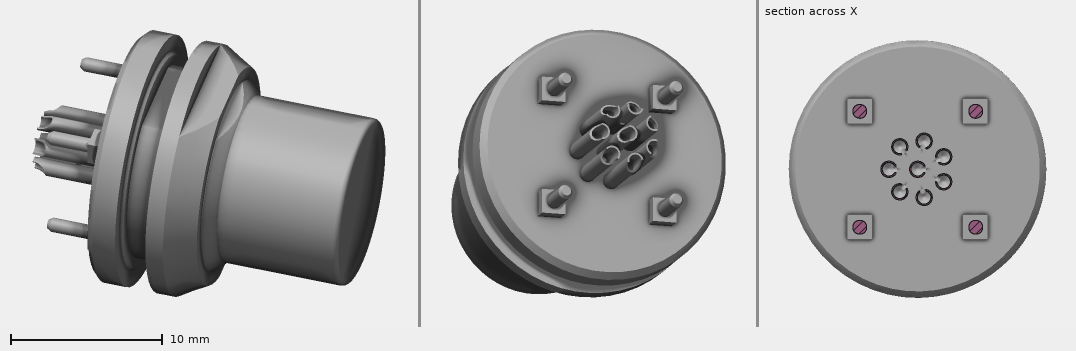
import cadquery as cq
import math


flange_back = 5.64
flange_front = 7.65
nut_back = 9.72
nut_rim_front = 10.95
nut_front = 12.93
neck_front = 13.81
barrel_front = 22.1

flange_diameter = 17.0
flange_radius = flange_diameter / 2
flange_chamfer = 0.42
shoulder_radius = 7.38
shoulder_height = 0.2

neck_radius = 6.48
neck_flat_offset = 5.75
barrel_radius = 5.64
barrel_end_fillet = 0.3

nut_nose_radius = 7.35
nut_flat_offset = 7.03

ground_pin_offset = 3.82
ground_foot_side = 1.61
ground_foot_back = 4.6
ground_pin_back = 1.64
ground_pin_diameter = 0.95
ground_pin_radius = ground_pin_diameter / 2
ground_pin_chamfer_length = 0.29
ground_pin_chamfer_depth = 0.18

ring_contacts = 7
contact_circle_radius = 1.9
contact_radius = 0.55
cup_bore_diameter = 0.86
cup_bore_radius = cup_bore_diameter / 2
cup_bore_depth = 2.76
drill_point_angle = 118
cup_cone_depth = cup_bore_radius / math.tan(math.radians(drill_point_angle / 2))
scoop_radius = 1.13
vent_x = 2.67
vent_radius = 0.2


def revolve_about_x(outline):
    """Turn a closed outline of (x, radius) points about the X axis."""
    return cq.Workplane("XY").polyline(outline).close().revolve(360, (0, 0, 0), (1, 0, 0))


def slab(back, front, half_height):
    """Block centred on the X axis, as wide in Y as the flange, limited in Z by its half height."""
    block = cq.Workplane("XY").box(front - back, flange_diameter, 2 * half_height)
    return block.translate(((back + front) / 2, 0, 0))


def make_flange():
    shoulder_front = flange_front + shoulder_height
    return revolve_about_x([
        (flange_back, 0),
        (flange_back, flange_radius - flange_chamfer),
        (flange_back + flange_chamfer, flange_radius),
        (flange_front, flange_radius),
        (flange_front, shoulder_radius),
        (shoulder_front, shoulder_radius - shoulder_height),
        (shoulder_front, 0),
    ])


def make_neck():
    """Round neck with a 45 degree nose and two flats."""
    nose_length = neck_radius - barrel_radius
    neck = revolve_about_x([
        (flange_front, 0),
        (flange_front, neck_radius),
        (neck_front - nose_length, neck_radius),
        (neck_front, barrel_radius),
        (neck_front, 0),
    ])
    return neck.intersect(slab(flange_front, neck_front, neck_flat_offset))


def make_barrel():
    barrel = (
        cq.Workplane("YZ", origin=(flange_front, 0, 0))
        .circle(barrel_radius)
        .extrude(barrel_front - flange_front)
    )
    return barrel.faces(">X").edges().fillet(barrel_end_fillet)


def make_ground_pin(y, z):
    """Chamfered round pin standing on a square foot."""
    pin = revolve_about_x([
        (ground_pin_back, 0),
        (ground_pin_back, ground_pin_radius - ground_pin_chamfer_depth),
        (ground_pin_back + ground_pin_chamfer_length, ground_pin_radius),
        (flange_back, ground_pin_radius),
        (flange_back, 0),
    ])
    foot = (
        cq.Workplane("YZ", origin=(ground_foot_back, 0, 0))
        .rect(ground_foot_side, ground_foot_side)
        .extrude(flange_back - ground_foot_back)
    )
    return pin.union(foot).translate((0, y, z))


def make_contact():
    """Solder-cup contact on the X axis, scooped open toward +Y and vented toward -Y."""
    rod = cq.Workplane("YZ").circle(contact_radius).extrude(flange_back)
    bore = revolve_about_x([
        (0, 0),
        (0, cup_bore_radius),
        (cup_bore_depth, cup_bore_radius),
        (cup_bore_depth + cup_cone_depth, 0),
    ])
    scoop = (
        cq.Workplane("XY")
        .center(0, scoop_radius)
        .circle(scoop_radius)
        .extrude(contact_radius, both=True)
    )
    vent = cq.Workplane("XZ").center(vent_x, 0).circle(vent_radius).extrude(contact_radius)
    return rod.cut(bore).cut(scoop).cut(vent)


def make_connector():
    connector = make_flange().union(make_neck()).union(make_barrel())
    for y in (-ground_pin_offset, ground_pin_offset):
        for z in (-ground_pin_offset, ground_pin_offset):
            connector = connector.union(make_ground_pin(y, z))
    contact = make_contact()
    connector = connector.union(contact)
    for i in range(ring_contacts):
        ring_contact = contact.translate((0, contact_circle_radius, 0))
        connector = connector.union(ring_contact.rotate((0, 0, 0), (1, 0, 0), i * 360 / ring_contacts))
    return connector


def make_nut():
    """Round nut with a conical nose, two wrench flats on the nose and a plain bore for the neck."""
    nut = revolve_about_x([
        (nut_back, 0),
        (nut_back, flange_radius),
        (nut_rim_front, flange_radius),
        (nut_front, nut_nose_radius),
        (nut_front, 0),
    ])
    rim = slab(nut_back, nut_rim_front, flange_radius)
    nose = slab(nut_rim_front, nut_front, nut_flat_offset)
    bore = cq.Workplane("YZ", origin=(nut_back, 0, 0)).circle(neck_radius).extrude(nut_front - nut_back)
    return nut.intersect(rim.union(nose)).cut(bore)


connector = make_connector()
nut = make_nut()

result = cq.Compound.makeCompound([connector.solids().val(), nut.solids().val()])